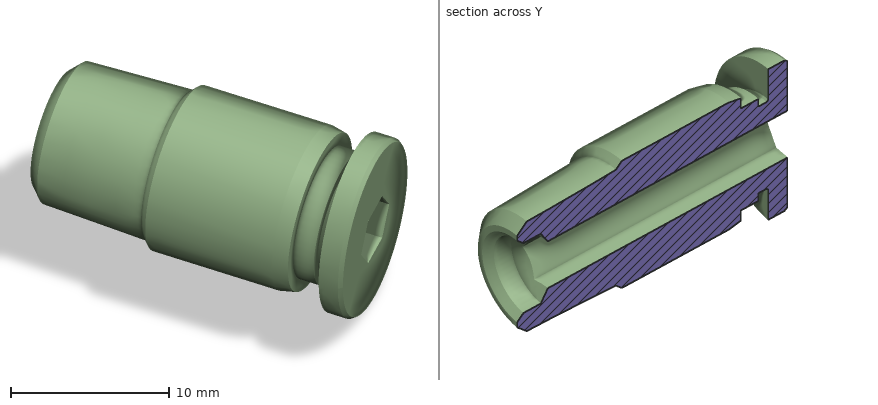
import cadquery as cq
import math

total_length = 21.95

nose_face_radius = 3.95
nose_chamfer = 0.8
nose_small_radius = nose_face_radius + nose_chamfer
nose_large_radius = 5.0
nose_length = 8.01

body_diameter = 11.0
body_radius = body_diameter / 2
shoulder_chamfer = body_radius - nose_large_radius
body_end = 18.17
body_taper_length = 1.0
body_taper_drop = 0.22

collar_radius = 4.41
collar_end = 19.58
neck_radius = 3.75
neck_flare = 0.13

flange_half_width = body_radius
flange_half_height = 6.5
flange_thickness = 1.58
flange_chamfer_length = 0.26
flange_chamfer_drop = 0.2
flange_start = total_length - flange_thickness

bore_radius = 2.99
bore_chamfer = 0.53
bore_depth = 1.93
cone_half_angle = 60.0
hex_across_flats = 4.0
hex_across_corners = hex_across_flats / math.cos(math.pi / 6)


def revolve_about_x(points):
    """Turn a closed (x, radius) outline around the X axis."""
    return cq.Workplane("XY").polyline(points).close().revolve(360, (0, 0, 0), (1, 0, 0))


def make_turned_body():
    return revolve_about_x([
        (0, 0),
        (0, nose_face_radius),
        (nose_chamfer, nose_small_radius),
        (nose_length, nose_large_radius),
        (nose_length + shoulder_chamfer, body_radius),
        (body_end - body_taper_length, body_radius),
        (body_end, body_radius - body_taper_drop),
        (body_end, collar_radius),
        (collar_end, collar_radius),
        (collar_end, neck_radius),
        (flange_start - neck_flare, neck_radius),
        (flange_start, neck_radius + neck_flare),
        (flange_start, 0),
    ])


def make_flange():
    rim_length = flange_thickness - flange_chamfer_length
    chamfer_angle = math.degrees(math.atan2(flange_chamfer_drop, flange_chamfer_length))
    rim = (
        cq.Workplane("YZ", origin=(flange_start, 0, 0))
        .ellipse(flange_half_width, flange_half_height)
        .extrude(rim_length)
    )
    chamfered_edge = (
        cq.Workplane("YZ", origin=(flange_start + rim_length, 0, 0))
        .ellipse(flange_half_width, flange_half_height)
        .extrude(flange_chamfer_length, taper=chamfer_angle)
    )
    return rim.union(chamfered_edge)


def make_bore():
    """Chamfered bore that ends in a drill-point cone."""
    cone_length = bore_radius / math.tan(math.radians(cone_half_angle))
    return revolve_about_x([
        (0, 0),
        (0, bore_radius + bore_chamfer),
        (bore_chamfer, bore_radius),
        (bore_depth, bore_radius),
        (bore_depth + cone_length, 0),
    ])


def make_hex_socket():
    """Through hexagon with two corners on the Y axis."""
    return cq.Workplane("YZ").polygon(6, hex_across_corners).extrude(total_length)


result = make_turned_body().union(make_flange()).cut(make_bore()).cut(make_hex_socket())